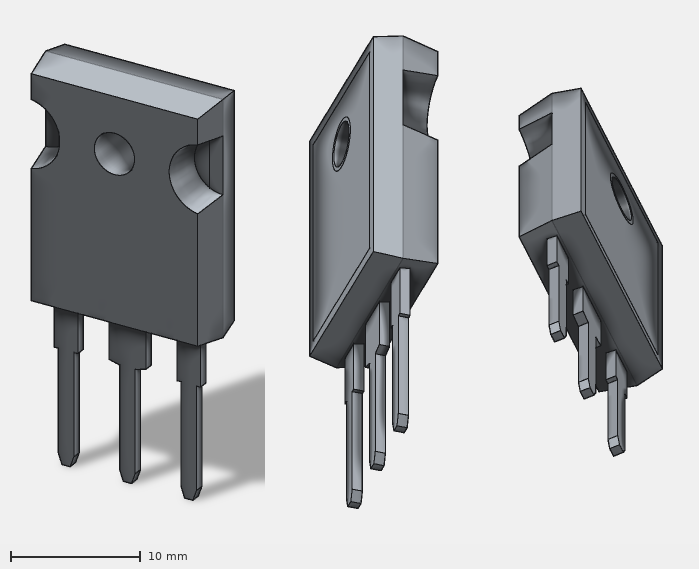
import cadquery as cq


TOTAL_HEIGHT = 34.9
BODY_WIDTH = 15.85
BODY_HEIGHT = 20.7
FRONT_DEPTH = 3.0
BACK_DEPTH = 2.3
BODY_DEPTH = FRONT_DEPTH + BACK_DEPTH
FRONT_INSET = 0.5
BACK_INSET = 0.35
BODY_BOTTOM = TOTAL_HEIGHT - BODY_HEIGHT
BODY_MID_Z = BODY_BOTTOM + BODY_HEIGHT / 2

HOLE_DIAMETER = 3.6
HOLE_Z = 29.42
NOTCH_FLOOR_RADIUS = 2.55
NOTCH_FRONT_RADIUS = NOTCH_FLOOR_RADIUS + FRONT_INSET
NOTCH_Z = 29.18

PLATE_MARGIN = 1.22
PLATE_WIDTH = BODY_WIDTH - 2 * PLATE_MARGIN
PLATE_HEIGHT = BODY_HEIGHT - 2 * PLATE_MARGIN
PLATE_HOLE_DIAMETER = 4.25

LEAD_PITCH = 5.48
LEAD_THICKNESS = 0.85
LEAD_BACK_Y = -0.2
LEAD_WIDTH = 1.4
SIDE_SHOULDER_WIDTH = 2.13
CENTRE_SHOULDER_WIDTH = 3.3
SHOULDER_Z = 10.0
CENTRE_SHOULDER_SLOPE = 0.25
TIP_WIDTH = 0.75
TIP_LENGTH = 0.95
LEAD_EMBED = 1.05
LEAD_TOP = BODY_BOTTOM + LEAD_EMBED


def front_plane(y):
    """Sketch plane at the given Y, with local x along X, local y along Z and normal toward -Y."""
    return cq.Workplane("XZ", origin=(0, y, 0))


def tapered_half(depth, inset):
    """Half of the housing, from the parting plane to a smaller face; positive depth runs to -Y."""
    return (
        front_plane(0)
        .center(0, BODY_MID_Z)
        .rect(BODY_WIDTH, BODY_HEIGHT)
        .workplane(offset=depth)
        .rect(BODY_WIDTH - 2 * inset, BODY_HEIGHT - 2 * inset)
        .loft(ruled=True)
    )


def make_notch(x):
    """Conical cutter that widens from the parting plane to the front face."""
    return (
        front_plane(0)
        .center(x, NOTCH_Z)
        .circle(NOTCH_FLOOR_RADIUS)
        .workplane(offset=FRONT_DEPTH)
        .circle(NOTCH_FRONT_RADIUS)
        .loft(ruled=True)
    )


def make_plate():
    """Heat-sink plate between the parting plane and the back face, with a hole for the moulded sleeve."""
    plate = front_plane(BACK_DEPTH).center(0, BODY_MID_Z).rect(PLATE_WIDTH, PLATE_HEIGHT).extrude(BACK_DEPTH)
    hole = front_plane(BACK_DEPTH).center(0, HOLE_Z).circle(PLATE_HOLE_DIAMETER / 2).extrude(BACK_DEPTH)
    return plate.cut(hole)


def make_lead(x, shoulder_width, shoulder_slope):
    """Flat lead with a wide shoulder at the top and a pointed tip; the slope is the rise of the step."""
    half_shoulder = shoulder_width / 2
    half_lead = LEAD_WIDTH / 2
    half_tip = TIP_WIDTH / 2
    right_side = [
        (half_tip, 0),
        (half_lead, TIP_LENGTH),
        (half_lead, SHOULDER_Z),
        (half_shoulder, SHOULDER_Z + shoulder_slope),
        (half_shoulder, LEAD_TOP),
    ]
    left_side = [(-px, pz) for px, pz in reversed(right_side)]
    return (
        front_plane(LEAD_BACK_Y)
        .center(x, 0)
        .polyline(right_side + left_side)
        .close()
        .extrude(LEAD_THICKNESS)
    )


def make_housing(inserts):
    """Moulded housing with side notches, mounting hole and a matching recess for every insert."""
    housing = tapered_half(FRONT_DEPTH, FRONT_INSET).union(tapered_half(-BACK_DEPTH, BACK_INSET))
    for side in (-1, 1):
        housing = housing.cut(make_notch(side * BODY_WIDTH / 2))
    for insert in inserts:
        housing = housing.cut(insert)
    hole = front_plane(BACK_DEPTH).center(0, HOLE_Z).circle(HOLE_DIAMETER / 2).extrude(BODY_DEPTH)
    return housing.cut(hole)


plate = make_plate()
centre_lead = make_lead(0, CENTRE_SHOULDER_WIDTH, CENTRE_SHOULDER_SLOPE)
side_leads = [make_lead(side * LEAD_PITCH, SIDE_SHOULDER_WIDTH, 0) for side in (-1, 1)]
leads = [centre_lead, *side_leads]
housing = make_housing([plate, *leads])

result = cq.Compound.makeCompound([housing.val(), plate.val(), *[lead.val() for lead in leads]])